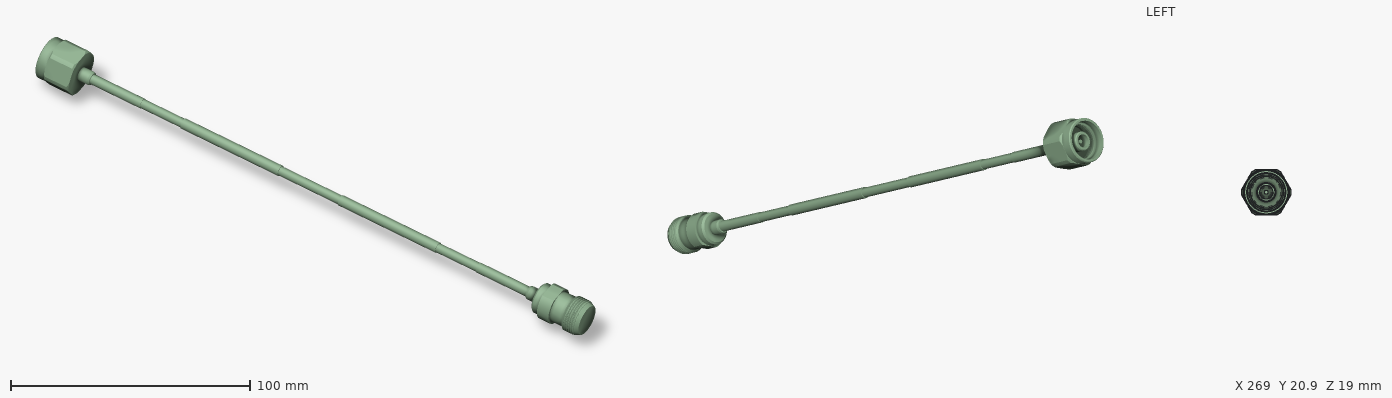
import cadquery as cq
import math


total_length = 269.01

nut_length = 17.0
nut_collar_length = 4.6
nut_collar_dia = 18.9
nut_collar_chamfer = 0.4
nut_across_flats = 19.0
nut_corner_dia = 20.89
nut_corner_chamfer = 0.7
nut_bore_dia = 14.6
nut_bore_depth = 9.0
nut_mouth_dia = 16.4
nut_mouth_depth = 3.6
floor_ring_dia = 13.2
floor_ring_height = 1.0
contact_dia = 8.1
contact_bore_dia = 5.6
contact_tip = 2.4
contact_chamfer = 0.4
pin_dia = 1.6
pin_tip = 4.0

ferrule_dia = 6.1
plug_ferrule_length = 5.6
jack_ferrule_length = 5.2
ferrule_chamfer_length = 0.9
ferrule_chamfer_drop = 0.3

jack_start = 245.3
jack_flange_length = 3.9
jack_flange_chamfer = 0.8
jack_barrel_dia = 13.7
wrench_length = 5.7
wrench_dia = 16.0
wrench_across_flats = 14.2
thread_start = 261.0
thread_dia = 15.9
threads_per_inch = 24
thread_pitch = 25.4 / threads_per_inch
thread_depth = 0.6
thread_flank = 0.35
thread_flat = (thread_pitch - 2 * thread_flank) / 2
thread_nose_length = 2.6
thread_nose_drop = 1.3

cable_dia = 4.1
end_sleeve_dia = 4.5
end_sleeve_length = 25.0
marker_dia = 4.7
marker_length = 48.5
marker_gap = 30.0

cable_start = nut_length + plug_ferrule_length
cable_end = jack_start - jack_ferrule_length
cable_middle = (cable_start + cable_end) / 2
wrench_start = jack_start + jack_flange_length
wrench_end = wrench_start + wrench_length


def rod(start, end, dia):
    """Round bar on the X axis."""
    return cq.Workplane("YZ", origin=(start, 0, 0)).circle(dia / 2).extrude(end - start)


def tube(start, end, outer_dia, inner_dia):
    """Hollow round bar on the X axis."""
    ring = cq.Workplane("YZ", origin=(start, 0, 0)).circle(outer_dia / 2).circle(inner_dia / 2)
    return ring.extrude(end - start)


def make_ferrule(start, end, cable_side):
    """Crimp ferrule with a shallow taper on the side the cable enters."""
    ferrule = rod(start, end, ferrule_dia)
    return ferrule.faces(cable_side).chamfer(ferrule_chamfer_length, ferrule_chamfer_drop)


def hex_section():
    """Hexagon with flats facing +Z and -Z and its corners turned down and chamfered."""
    length = nut_length - nut_collar_length
    corner_to_corner = nut_across_flats / math.cos(math.pi / 6)
    hexagon = (
        cq.Workplane("YZ", origin=(nut_collar_length, 0, 0))
        .polygon(6, corner_to_corner)
        .extrude(length)
    )
    envelope = rod(nut_collar_length, nut_length, nut_corner_dia).edges().chamfer(nut_corner_chamfer)
    return hexagon.intersect(envelope)


def thread_grooves(start, length, crest_radius, root_radius):
    """Ring-shaped trapezoid cutters, one per thread pitch, that stand in for a helical thread."""
    grooves = []
    for index in range(int(length / thread_pitch)):
        left = start + index * thread_pitch
        profile = [
            (left, crest_radius),
            (left + thread_flank, root_radius),
            (left + thread_flank + thread_flat, root_radius),
            (left + 2 * thread_flank + thread_flat, crest_radius),
        ]
        grooves.append(cq.Workplane("XY").polyline(profile).close().revolve(360, (0, 0, 0), (1, 0, 0)))
    return grooves


def make_plug():
    """Coupling nut with its threaded socket, centre contact and rear ferrule as one solid."""
    collar = rod(0, nut_collar_length, nut_collar_dia).faces("<X").chamfer(nut_collar_chamfer)
    nut = collar.union(hex_section())
    nut = nut.cut(rod(0, nut_bore_depth, nut_bore_dia)).cut(rod(0, nut_mouth_depth, nut_mouth_dia))
    bore_thread_length = nut_bore_depth - floor_ring_height - nut_mouth_depth
    crest = nut_bore_dia / 2
    for groove in thread_grooves(nut_mouth_depth, bore_thread_length, crest, crest + thread_depth):
        nut = nut.cut(groove)

    floor_ring = rod(nut_bore_depth - floor_ring_height, nut_bore_depth, floor_ring_dia)
    contact = tube(contact_tip, nut_bore_depth, contact_dia, contact_bore_dia)
    outer_rim = cq.selectors.RadiusNthSelector(-1)
    contact = contact.faces("<X").edges(outer_rim).chamfer(contact_chamfer)
    pin = rod(pin_tip, nut_bore_depth, pin_dia)
    ferrule = make_ferrule(nut_length, cable_start, ">X")
    return nut.union(floor_ring).union(contact).union(pin).union(ferrule)


def thread_section():
    """Threaded end: chamfered bar with ring grooves along its length."""
    crest = thread_dia / 2
    thread = rod(thread_start, total_length, thread_dia)
    thread = thread.faces("<X").chamfer(thread_depth)
    thread = thread.faces(">X").chamfer(thread_nose_length, thread_nose_drop)
    groove_start = thread_start + thread_depth
    groove_length = total_length - groove_start
    for groove in thread_grooves(groove_start, groove_length, crest, crest - thread_depth):
        thread = thread.cut(groove)
    return thread


def make_jack():
    """Ferrule, flange, two-flat wrench section, barrel and threaded end as one solid."""
    ferrule = make_ferrule(cable_end, jack_start, "<X")
    flange = rod(jack_start, wrench_start, jack_barrel_dia).faces("<X").chamfer(jack_flange_chamfer)
    wrench_middle = (wrench_start + wrench_end) / 2
    flats = cq.Workplane("XY", origin=(wrench_middle, 0, 0)).box(
        wrench_length, wrench_dia, wrench_across_flats
    )
    wrench = rod(wrench_start, wrench_end, wrench_dia).intersect(flats)
    barrel = rod(wrench_end, thread_start, jack_barrel_dia)
    return ferrule.union(flange).union(wrench).union(barrel).union(thread_section())


def make_cable():
    return rod(cable_start, cable_end, cable_dia)


def make_end_sleeve(start):
    return tube(start, start + end_sleeve_length, end_sleeve_dia, cable_dia)


def make_marker(start):
    return tube(start, start + marker_length, marker_dia, cable_dia)


plug = make_plug()
jack = make_jack()
cable = make_cable()
end_sleeves = [make_end_sleeve(start) for start in (cable_start, cable_end - end_sleeve_length)]
marker_starts = (cable_middle - marker_gap / 2 - marker_length, cable_middle + marker_gap / 2)
markers = [make_marker(start) for start in marker_starts]

bodies = [plug, jack, cable, *end_sleeves, *markers]
result = cq.Compound.makeCompound([body.val() for body in bodies])